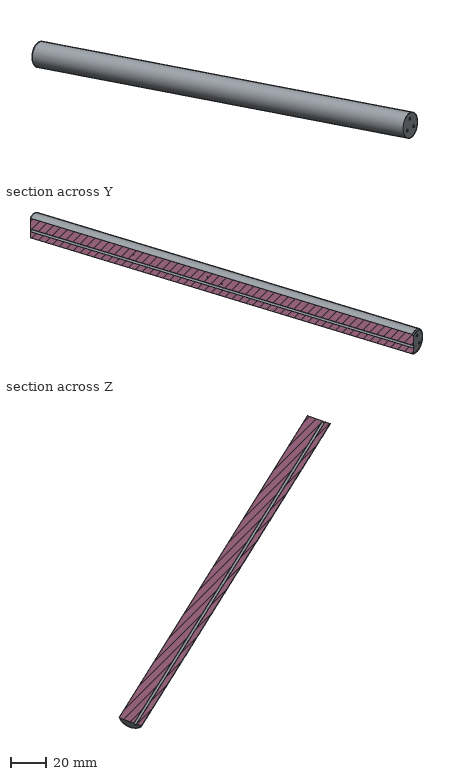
import cadquery as cq

rod_length = 250.0
rod_diameter = 15.0
end_chamfer = 0.75

channel_count = 3
channel_diameter = 1.4
channel_circle_radius = 3.9
first_channel_angle = 97.0
full_turn = 360.0


def make_rod():
    """Solid rod centred on the origin, chamfered at the -X end."""
    rod = cq.Workplane("YZ").circle(rod_diameter / 2).extrude(rod_length / 2, both=True)
    return rod.faces("<X").chamfer(end_chamfer)


def make_channels():
    """Straight channels, evenly spaced around the rod axis, running end to end."""
    return (
        cq.Workplane("YZ")
        .polarArray(channel_circle_radius, first_channel_angle, full_turn, channel_count)
        .circle(channel_diameter / 2)
        .extrude(rod_length / 2, both=True)
    )


result = make_rod().cut(make_channels())